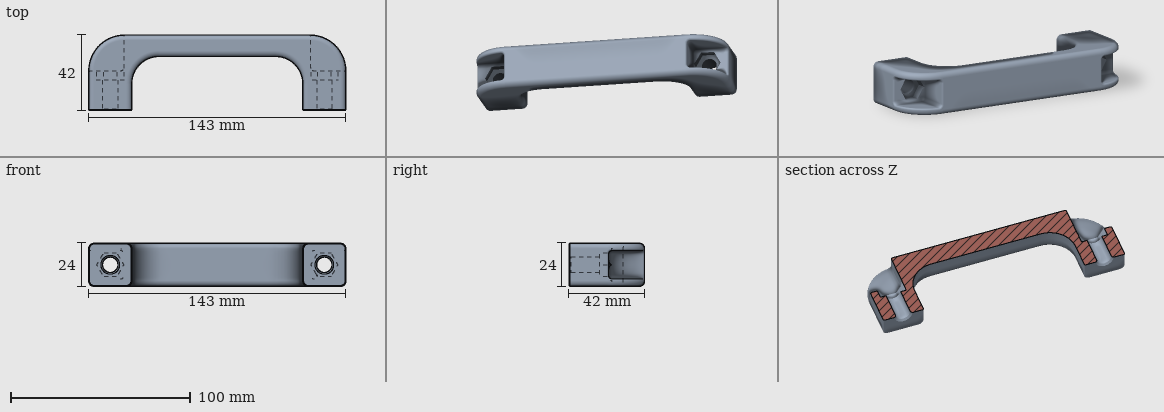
import math

import cadquery as cq

length = 143.0
height = 42.0
thickness = 24.0
leg_width = thickness
bar_width = thickness / 2
outer_radius = 20.0
inner_radius = 15.0
grip_fillet = 3.0
foot_chamfer = 0.5

hole_diameter = 8.5
countersink = 1.0

pocket_depth = 20.0
pocket_reach = 19.6
pocket_width = 15.9
pocket_fillet = 2.0
pocket_rim_fillet = 1.0

hex_flats = 13.0
hex_corners = hex_flats / math.cos(math.pi / 6)
hex_depth = 5.0

half_length = length / 2
foot_y = -height / 2
back_y = height / 2
pocket_floor_y = back_y - pocket_depth
hole_x = half_length - leg_width / 2
opening_length = length - 2 * leg_width
opening_depth = height - bar_width


def block(size_x, size_y, center_y):
    """Block of the full handle thickness, centred on X and Z."""
    return cq.Workplane("XY").box(size_x, size_y, thickness).translate((0, center_y, 0))


def make_grip():
    """U-shaped bow with rounded corners, rounded long edges and chamfered feet."""
    outside = block(length, height, 0).edges("|Z and >Y").fillet(outer_radius)
    opening = block(opening_length, opening_depth, foot_y + opening_depth / 2)
    opening = opening.edges("|Z and >Y").fillet(inner_radius)
    bow = outside.cut(opening)
    bow = bow.faces(">Z or <Z").edges("not <Y").fillet(grip_fillet)
    return bow.faces("<Y").edges().chamfer(foot_chamfer)


def make_pocket(side):
    """Cutter for one corner pocket with rounded inner edges; side is -1 (left) or 1 (right)."""
    overshoot = 2 * pocket_fillet
    size_x = pocket_reach + overshoot
    size_y = pocket_depth + overshoot
    inner_x = pocket_reach - half_length
    left_pocket = (
        cq.Workplane("XY")
        .box(size_x, size_y, pocket_width)
        .faces("<Y or >X")
        .edges()
        .fillet(pocket_fillet)
        .translate((inner_x - size_x / 2, pocket_floor_y + size_y / 2, 0))
    )
    return left_pocket if side < 0 else left_pocket.mirror("YZ")


def make_hex_seat(side):
    """Cutter for the hexagonal seat; two of its corners point along X."""
    seat_plane = cq.Workplane("XZ", origin=(side * hole_x, pocket_floor_y - hex_depth, 0))
    return seat_plane.polygon(6, hex_corners).extrude(-hex_depth - pocket_fillet)


def make_screw_hole(side):
    """Cutter for one countersunk hole from the foot into the pocket."""
    hole_length = height - pocket_depth / 2
    hole_radius = hole_diameter / 2
    foot_center = cq.Vector(side * hole_x, foot_y, 0)
    hole = cq.Solid.makeCylinder(hole_radius, hole_length, foot_center, cq.Vector(0, 1, 0))
    cone = cq.Solid.makeCone(
        hole_radius + countersink, hole_radius, countersink, foot_center, cq.Vector(0, 1, 0)
    )
    return cq.Workplane(obj=hole.fuse(cone))


result = make_grip()
for side in (-1, 1):
    result = result.cut(make_pocket(side))
    rim_point = (side * half_length, pocket_floor_y, 0)
    result = result.edges(cq.NearestToPointSelector(rim_point)).fillet(pocket_rim_fillet)
    result = result.cut(make_hex_seat(side)).cut(make_screw_hole(side))

result = result.solids()